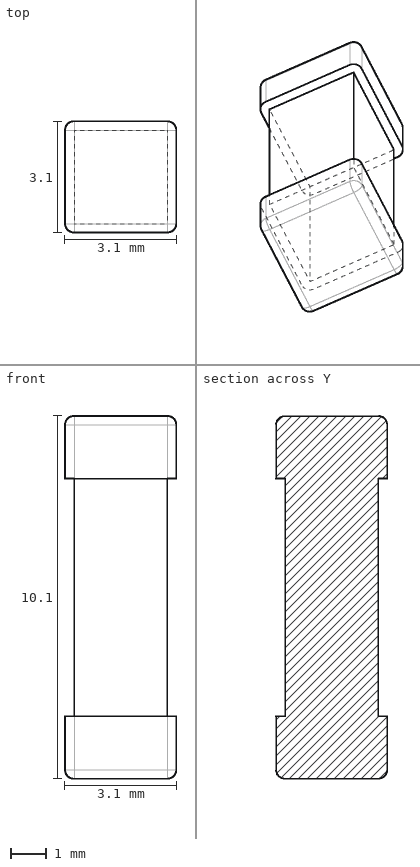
import cadquery as cq

length = 10.11
cap_width = 3.1

cap_height = 1.75
edge_radius = 0.25
body_width = cap_width - 2 * edge_radius


def end_cap(outer_face):
    """Square cap at one end, rounded on its upright edges and outer face."""
    direction = 1 if outer_face == ">Z" else -1
    center_z = direction * (length - cap_height) / 2
    return (
        cq.Workplane("XY")
        .box(cap_width, cap_width, cap_height)
        .edges(f"|Z or {outer_face}")
        .fillet(edge_radius)
        .translate((0, 0, center_z))
    )


body = cq.Workplane("XY").box(body_width, body_width, length - 2 * cap_height)

result = body.union(end_cap(">Z")).union(end_cap("<Z"))